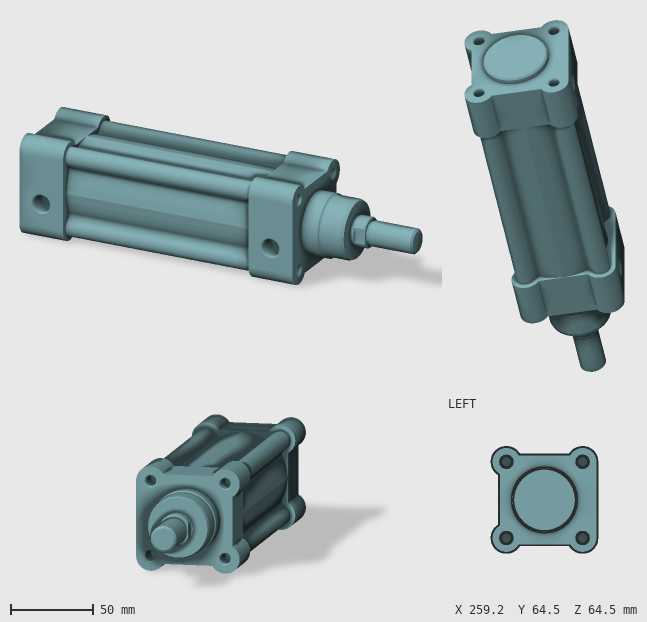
import cadquery as cq
import math


overall_length = 259.2
rear_boss_length = 4.1
cap_length = 29.8
barrel_length = 126.2
front_boss_length = 28.0
barrel_start = cap_length
barrel_end = barrel_start + barrel_length
front_face = barrel_end + cap_length
rod_start = front_face + front_boss_length
rod_tip = overall_length - rear_boss_length

cap_width = 64.5
lobe_radius = 9.0
flat_half_width = 27.7
corner_offset = cap_width / 2 - lobe_radius
corners = [(y, z) for y in (-corner_offset, corner_offset) for z in (-corner_offset, corner_offset)]

screw_hole_diameter = 6.5
screw_hole_depth = 15.5
port_diameter = 11.5
port_depth = 13.0
port_drop = 8.0
hole_mouth_chamfer = 0.65

boss_radius = 20.0
rear_boss_chamfer = 1.0
collar_length = 11.0
nose_radius = 19.2
nose_step = boss_radius - nose_radius
nose_tip_radius = 18.5
nose_taper_length = 2.3

tie_rod_radius = 6.0
ridge_height = 27.7
ridge_half_width = 5.0
ridge_slope = math.radians(9.5)
side_end_slope = math.radians(26)
side_end_offset = 13.7

rod_radius = 9.8
rod_shoulder_step = 0.5
rod_shoulder_taper = 0.8
rod_seat_length = 0.8
wrench_width = 16.8
wrench_start = 2.3
shank_length = 9.5
neck_radius = 7.5
neck_length = 2.0
thread_radius = 8.0
thread_chamfer = 1.3


def revolve_about_x(points):
    """Solid of revolution about X from (x, radius) points that start and end on the axis."""
    return cq.Workplane("XY").polyline(points).close().revolve(360, (0, 0, 0), (1, 0, 0))


def cap_block(start):
    """Square cap with round corner lobes, filled out to a flat face on its -Y side."""
    plane = cq.Workplane("YZ", origin=(start, 0, 0))
    side_length = flat_half_width + cap_width / 2
    side_center = (flat_half_width - cap_width / 2) / 2
    block = plane.rect(2 * flat_half_width, 2 * flat_half_width).extrude(cap_length)
    block = block.union(plane.center(side_center, 0).rect(side_length, 2 * corner_offset).extrude(cap_length))
    return block.union(plane.pushPoints(corners).circle(lobe_radius).extrude(cap_length))


def blind_hole(mouth, inward, diameter, depth):
    """Cutter for a blind hole with a chamfered mouth, running from the mouth point along inward."""
    mouth_radius = diameter / 2 + hole_mouth_chamfer
    bore = cq.Solid.makeCylinder(diameter / 2, depth, mouth, inward)
    return bore.fuse(cq.Solid.makeCone(mouth_radius, diameter / 2, hole_mouth_chamfer, mouth, inward))


def cut_air_port(cap, center_x):
    """Cut the air port into the -Y face."""
    mouth = cq.Vector(center_x, -cap_width / 2, -port_drop)
    return cap.cut(cq.Workplane(blind_hole(mouth, cq.Vector(0, 1, 0), port_diameter, port_depth)))


def cut_screw_holes(cap, face_x, inward_x):
    """Cut the four corner mounting holes, sunk from face_x towards +X or -X."""
    inward = cq.Vector(inward_x, 0, 0)
    for y, z in corners:
        hole = blind_hole(cq.Vector(face_x, y, z), inward, screw_hole_diameter, screw_hole_depth)
        cap = cap.cut(cq.Workplane(hole))
    return cap


def make_rear_cap():
    boss = revolve_about_x([
        (0, 0),
        (0, boss_radius),
        (rear_boss_chamfer - rear_boss_length, boss_radius),
        (-rear_boss_length, boss_radius - rear_boss_chamfer),
        (-rear_boss_length, 0),
    ])
    cap = cap_block(0).union(boss)
    cap = cut_screw_holes(cap, 0, 1)
    return cut_air_port(cap, cap_length / 2)


def make_front_cap():
    boss = revolve_about_x([
        (front_face, 0),
        (front_face, boss_radius),
        (front_face + collar_length, boss_radius),
        (front_face + collar_length + nose_step, nose_radius),
        (rod_start - nose_taper_length, nose_radius),
        (rod_start, nose_tip_radius),
        (rod_start, 0),
    ])
    cap = cap_block(barrel_end).union(boss)
    cap = cut_screw_holes(cap, front_face, -1)
    return cut_air_port(cap, barrel_end + cap_length / 2)


def polar(center, radius, angle):
    """The (y, z) point at the given radius and angle from a centre."""
    return (center[0] + radius * math.cos(angle), center[1] + radius * math.sin(angle))


def swapped(point):
    """A (y, z) point mirrored across the diagonal through a tie rod."""
    return (point[1], point[0])


def barrel_quarter():
    """Curves of one quarter of the barrel outline, as (through point or None, end point) pairs.

    The quarter starts on the ridge on the +Y side and ends on the ridge on the +Z side.
    """
    ridge_foot = (ridge_height - ridge_half_width * math.tan(ridge_slope), ridge_half_width)
    side_radius = (side_end_offset - ridge_half_width) / (math.sin(side_end_slope) - math.sin(ridge_slope))
    side_center = polar(ridge_foot, -side_radius, ridge_slope)
    side_middle = polar(side_center, side_radius, (ridge_slope + side_end_slope) / 2)
    side_end = polar(side_center, side_radius, side_end_slope)
    diagonal = math.radians(45)
    flank_gap = (side_end[0] - side_end[1]) / math.sqrt(2) - tie_rod_radius
    fillet_radius = flank_gap / (1 - math.sin(diagonal - side_end_slope))
    fillet_center = polar(side_end, fillet_radius, side_end_slope)
    flank_angle = diagonal + math.pi / 2
    fillet_start_angle = side_end_slope + math.pi
    fillet_middle = polar(fillet_center, fillet_radius, (fillet_start_angle + flank_angle) / 2)
    fillet_end = polar(fillet_center, fillet_radius, flank_angle)
    cover_center = (corner_offset, corner_offset)
    cover_start = polar(cover_center, tie_rod_radius, -diagonal)
    cover_middle = polar(cover_center, tie_rod_radius, diagonal)
    return [
        (None, ridge_foot),
        (side_middle, side_end),
        (fillet_middle, fillet_end),
        (None, cover_start),
        (cover_middle, swapped(cover_start)),
        (None, swapped(fillet_end)),
        (swapped(fillet_middle), swapped(side_end)),
        (swapped(side_middle), swapped(ridge_foot)),
        (None, (0, ridge_height)),
    ]


def quarter_turned(point, turns):
    """A (y, z) point turned about the axis by a number of quarter turns."""
    y, z = point
    for _ in range(turns):
        y, z = -z, y
    return (y, z)


def make_barrel():
    outline = cq.Workplane("YZ", origin=(barrel_start, 0, 0)).moveTo(ridge_height, 0)
    for turns in range(4):
        for through, end in barrel_quarter():
            if through:
                outline = outline.threePointArc(quarter_turned(through, turns), quarter_turned(end, turns))
            else:
                outline = outline.lineTo(*quarter_turned(end, turns))
    return outline.close().extrude(barrel_length)


def make_rod():
    shank_end = rod_start + shank_length
    thread_start = shank_end + neck_length
    shoulder_radius = rod_radius - rod_shoulder_step
    rod = revolve_about_x([
        (rod_start, 0),
        (rod_start, shoulder_radius),
        (rod_start + rod_seat_length, shoulder_radius),
        (rod_start + rod_seat_length + rod_shoulder_taper, rod_radius),
        (shank_end - rod_shoulder_taper, rod_radius),
        (shank_end, shoulder_radius),
        (shank_end, neck_radius),
        (thread_start, neck_radius),
        (thread_start, thread_radius),
        (rod_tip - thread_chamfer, thread_radius),
        (rod_tip, thread_radius - thread_chamfer),
        (rod_tip, 0),
    ])
    flat_length = shank_length - wrench_start
    flat_middle = shank_end - flat_length / 2
    for side in (-1, 1):
        cutter = cq.Workplane("XY").box(flat_length, rod_radius, 2 * rod_radius)
        rod = rod.cut(cutter.translate((flat_middle, side * (wrench_width + rod_radius) / 2, 0)))
    return rod


rear_cap = make_rear_cap()
front_cap = make_front_cap()
barrel = make_barrel()
rod = make_rod()

result = cq.Compound.makeCompound([rear_cap.val(), front_cap.val(), barrel.val(), rod.val()])